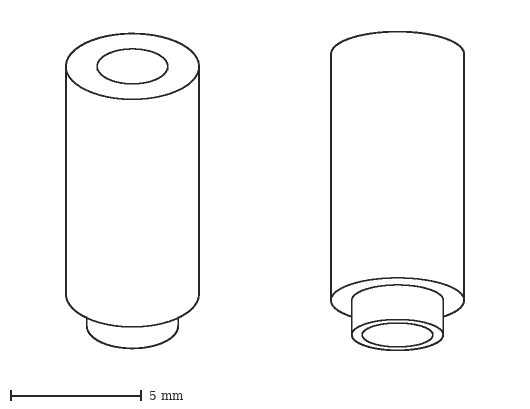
import cadquery as cq

total_length = 11.4
body_diameter = 5.1
spigot_diameter = 3.5
spigot_length = 1.4
bore_diameter = 2.7

body_length = total_length - spigot_length

spigot = cq.Workplane("XY").circle(spigot_diameter / 2).extrude(spigot_length)

spacer = spigot.faces(">Z").workplane().circle(body_diameter / 2).extrude(body_length)

result = spacer.faces(">Z").workplane().hole(bore_diameter)